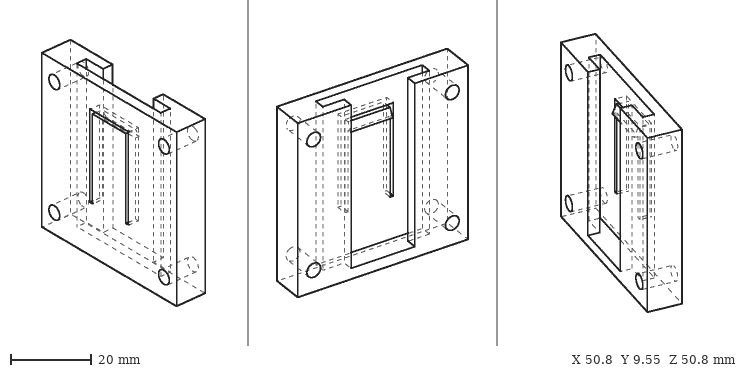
import cadquery as cq

side = 50.8
thickness = 9.55

front_wall = 3.2
channel_width = 31.7
channel_depth = 3.15
mouth_width = 19.0
channel_floor_height = 3.2

slit_width = 1.0
slit_outer_width = 14.6
slit_bottom = 15.5
slit_top = 42.65
tongue_width = slit_outer_width - 2 * slit_width
tongue_top = slit_top - slit_width

catch_height = 1.15
catch_length = 2.5

hole_diameter = 4.05
hole_spacing_x = 41.3
hole_spacing_z = 38.1

channel_back = front_wall + channel_depth


def box(width, y_start, y_end, z_start, z_end):
    """Box centred on X between the given Y and Z limits."""
    return (
        cq.Workplane("XY", origin=(0, 0, z_start))
        .rect(width, y_end - y_start)
        .extrude(z_end - z_start)
        .translate((0, (y_start + y_end) / 2, 0))
    )


def t_channel():
    cavity = box(channel_width, front_wall, channel_back, channel_floor_height, side)
    mouth = box(mouth_width, channel_back, thickness, channel_floor_height, side)
    return cavity.union(mouth)


def tongue_slit():
    outer = box(slit_outer_width, 0, front_wall, slit_bottom, slit_top)
    tongue = box(tongue_width, 0, front_wall, slit_bottom, tongue_top)
    return outer.cut(tongue)


def catch():
    return (
        cq.Workplane("YZ")
        .moveTo(front_wall, tongue_top - catch_length)
        .lineTo(front_wall, tongue_top)
        .lineTo(front_wall + catch_height, tongue_top - catch_length)
        .close()
        .extrude(tongue_width / 2, both=True)
    )


def mounting_holes():
    return (
        cq.Workplane("XZ", origin=(0, 0, side / 2))
        .rect(hole_spacing_x, hole_spacing_z, forConstruction=True)
        .vertices()
        .circle(hole_diameter / 2)
        .extrude(-thickness)
    )


result = (
    box(side, 0, thickness, 0, side)
    .cut(t_channel())
    .cut(tongue_slit())
    .union(catch())
    .cut(mounting_holes())
)